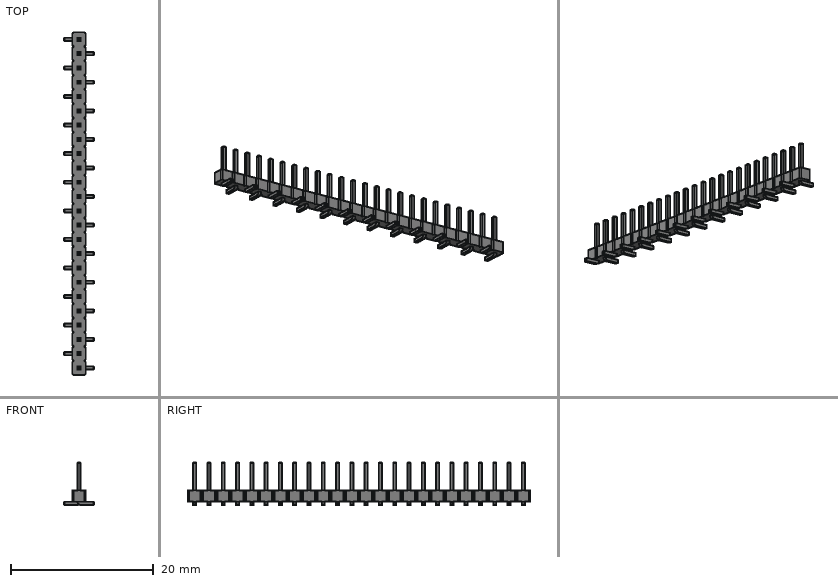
import cadquery as cq
import math

pin_count = 24
strip_length = 48.0
tail_span = 4.2
total_height = 6.0

pitch = strip_length / pin_count
body_width = 1.9
body_height = 1.6
corner_chamfer = 0.2

pin_width = 0.5
tip_length = 0.15
tip_width = 0.25
half_pin = pin_width / 2
body_bottom = pin_width
shank_top = total_height - tip_length
tail_end = tail_span / 2 - tip_length


def make_block(y):
    """One body segment; its chamfers leave V grooves between neighbours."""
    return (
        cq.Workplane("XY")
        .box(body_width, pitch, body_height, centered=(True, True, False))
        .edges("|Z")
        .chamfer(corner_chamfer)
        .translate((0, y, body_bottom))
    )


def make_tip():
    """Truncated pyramid that ends a pin, narrowing along +Z."""
    return (
        cq.Workplane("XY")
        .rect(pin_width, pin_width)
        .workplane(offset=tip_length)
        .rect(tip_width, tip_width)
        .loft(ruled=True)
    )


def make_pin(y, side):
    """L-shaped pin with its tail toward +X (side = 1) or -X (side = -1)."""
    bend_offset = pin_width * math.sqrt(0.5)
    bend_middle = (half_pin - bend_offset, pin_width - bend_offset)
    shank_and_tail = (
        cq.Workplane("XZ")
        .moveTo(-half_pin, shank_top)
        .lineTo(-half_pin, pin_width)
        .threePointArc(bend_middle, (half_pin, 0))
        .lineTo(tail_end, 0)
        .lineTo(tail_end, pin_width)
        .lineTo(half_pin, pin_width)
        .lineTo(half_pin, shank_top)
        .close()
        .extrude(half_pin, both=True)
    )
    top_tip = make_tip().translate((0, 0, shank_top))
    tail_tip = make_tip().rotate((0, 0, 0), (0, 1, 0), 90).translate((tail_end, 0, half_pin))
    pin = shank_and_tail.union(top_tip).union(tail_tip)
    if side < 0:
        pin = pin.rotate((0, 0, 0), (0, 0, 1), 180)
    return pin.translate((0, y, 0))


result = cq.Workplane("XY")
for index in range(pin_count):
    pin_y = (index + 0.5) * pitch - strip_length / 2
    tail_side = 1 if index % 2 == 0 else -1
    segment = make_block(pin_y).union(make_pin(pin_y, tail_side))
    result = result.union(segment)